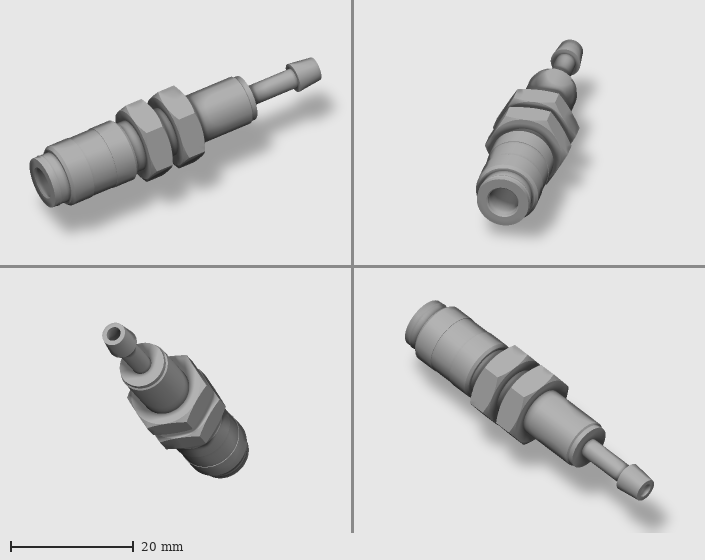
import cadquery as cq
import math

TOTAL_LENGTH = 51.0

HEX_FLATS = 12.0
HEX_CORNERS = HEX_FLATS / math.cos(math.pi / 6)
HEX_WIDTH = 4.05
HEX_CHAMFER_ANGLE = math.radians(30)
HEX_FACE_DIA = 11.95
FIXED_HEX_START = 17.0
NUT_START = 23.0

MOUTH_DIA = 8.6
RING_DIA = 8.8
SLEEVE_DIA = 10.4
SLEEVE_WAIST_DIA = 10.2
THREAD_DIA = 8.25
COLLAR_DIA = 7.7
TUBE_DIA = 3.3
BARB_ROOT_DIA = 4.95
BARB_TIP_DIA = 4.0

RING_START = 0.8
RING_END = 1.4
RING_PEAK = (RING_START + RING_END) / 2
SLEEVE_START = 2.8
SLEEVE_CHAMFER = 0.45
SLEEVE_CHAMFER_DEPTH = 0.4
WAIST_START = 6.8
WAIST_END = 11.1
SLEEVE_END = 15.1
COLLAR_LENGTH = 1.05
THREAD_CHAMFER = 0.2
TUBE_START = 38.0
THREAD_END = TUBE_START - COLLAR_LENGTH
BARB_LENGTH = 4.2

SOCKET_MOUTH_DIA = 5.45
SOCKET_DEPTH = SLEEVE_END
SOCKET_DIA = 5.05
SOCKET_CHAMFER = 0.2
PASSAGE_DIA = 2.4


def cone(start, end, start_dia, end_dia):
    """Solid of revolution about Y whose diameter changes evenly from start to end."""
    return (
        cq.Workplane("XY")
        .polyline([(0, start), (start_dia / 2, start), (end_dia / 2, end), (0, end)])
        .close()
        .revolve(360, (0, 0, 0), (0, 1, 0))
    )


def cylinder(start, end, dia):
    return cone(start, end, dia, dia)


def chamfered_hex(start):
    """Hexagon with corners on the X axis and a conical chamfer on each face."""
    end = start + HEX_WIDTH
    face_radius = HEX_FACE_DIA / 2
    corner_radius = HEX_CORNERS / 2
    chamfer = (corner_radius - face_radius) * math.tan(HEX_CHAMFER_ANGLE)
    prism = (
        cq.Workplane("XZ", origin=(0, end, 0))
        .polygon(6, HEX_CORNERS)
        .extrude(HEX_WIDTH)
    )
    envelope = (
        cq.Workplane("XY")
        .moveTo(0, start)
        .lineTo(face_radius, start)
        .lineTo(corner_radius, start + chamfer)
        .lineTo(corner_radius, end - chamfer)
        .lineTo(face_radius, end)
        .lineTo(0, end)
        .close()
        .revolve(360, (0, 0, 0), (0, 1, 0))
    )
    return prism.intersect(envelope)


def make_sleeve():
    """Grip sleeve with chamfered ends and a shallow waist."""
    end_dia = SLEEVE_DIA - 2 * SLEEVE_CHAMFER_DEPTH
    front_shoulder = SLEEVE_START + SLEEVE_CHAMFER
    rear_shoulder = SLEEVE_END - SLEEVE_CHAMFER
    return (
        cone(SLEEVE_START, front_shoulder, end_dia, SLEEVE_DIA)
        .union(cylinder(front_shoulder, WAIST_START, SLEEVE_DIA))
        .union(cylinder(WAIST_START, WAIST_END, SLEEVE_WAIST_DIA))
        .union(cylinder(WAIST_END, rear_shoulder, SLEEVE_DIA))
        .union(cone(rear_shoulder, SLEEVE_END, SLEEVE_DIA, end_dia))
    )


def make_hose_tail():
    """Slim tube ending in a barb that narrows toward its tip."""
    barb_start = TOTAL_LENGTH - BARB_LENGTH
    tube = cylinder(TUBE_START, barb_start, TUBE_DIA)
    return tube.union(cone(barb_start, TOTAL_LENGTH, BARB_ROOT_DIA, BARB_TIP_DIA))


def make_bore():
    """Coupling socket with a chamfered mouth, and the narrow passage through the whole length."""
    return (
        cone(0, SOCKET_CHAMFER, SOCKET_MOUTH_DIA, SOCKET_DIA)
        .union(cylinder(SOCKET_CHAMFER, SOCKET_DEPTH, SOCKET_DIA))
        .union(cylinder(SOCKET_DEPTH, TOTAL_LENGTH, PASSAGE_DIA))
    )


def make_housing():
    return (
        cylinder(0, FIXED_HEX_START, MOUTH_DIA)
        .union(cone(RING_START, RING_PEAK, MOUTH_DIA, RING_DIA))
        .union(cone(RING_PEAK, RING_END, RING_DIA, MOUTH_DIA))
        .union(make_sleeve())
        .union(chamfered_hex(FIXED_HEX_START))
        .union(cylinder(FIXED_HEX_START, THREAD_END, THREAD_DIA))
        .union(cone(THREAD_END, THREAD_END + THREAD_CHAMFER, THREAD_DIA, COLLAR_DIA))
        .union(cylinder(THREAD_END, TUBE_START, COLLAR_DIA))
        .union(make_hose_tail())
        .cut(make_bore())
    )


def make_nut():
    """Panel nut fitting closely around the housing thread."""
    return chamfered_hex(NUT_START).cut(cylinder(NUT_START, NUT_START + HEX_WIDTH, THREAD_DIA))


housing = make_housing()
nut = make_nut()

result = cq.Compound.makeCompound([housing.val(), nut.val()])